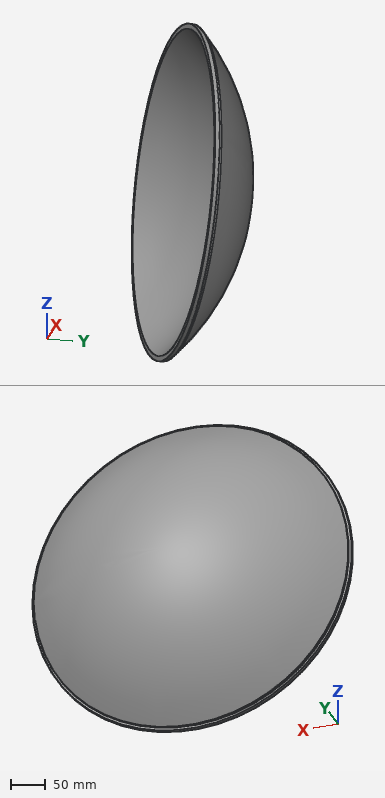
import cadquery as cq
import math

flange_radius = 242.5
flange_thickness = 6.5
collar_radius = 238.5
collar_top = 10.0
total_height = 107.0
wall_thickness = 9.5

dome_rise = total_height - collar_top
outer_radius = (collar_radius**2 + dome_rise**2) / (2 * dome_rise)
centre_y = total_height - outer_radius
inner_radius = outer_radius - wall_thickness
opening_radius = math.sqrt(inner_radius**2 - centre_y**2)


def point_on_sphere(sphere_radius, axial_radius):
    """Profile point on a sphere at a given distance from the Y axis."""
    return axial_radius, centre_y + math.sqrt(sphere_radius**2 - axial_radius**2)


profile = (
    cq.Workplane("XY")
    .moveTo(opening_radius, 0)
    .lineTo(flange_radius, 0)
    .lineTo(flange_radius, flange_thickness)
    .lineTo(collar_radius, flange_thickness)
    .lineTo(collar_radius, collar_top)
    .threePointArc(point_on_sphere(outer_radius, collar_radius / 2), (0, total_height))
    .lineTo(0, total_height - wall_thickness)
    .threePointArc(point_on_sphere(inner_radius, opening_radius / 2), (opening_radius, 0))
    .close()
)

result = profile.revolve(360, (0, 0, 0), (0, 1, 0))